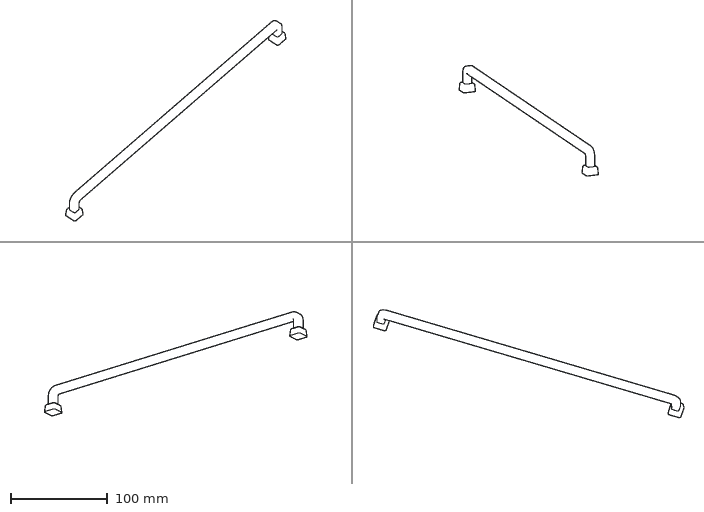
import cadquery as cq

overall_length = 334.0
overall_height = 28.0

foot_side = 14.0
foot_height = 8.5
foot_draft_angle = 5.0
foot_corner_radius = 2.0
foot_top_radius = 2.0

bar_side = 8.0
bar_face_crown = 0.17
bar_edge_radius = 1.0
inner_bend_radius = 1.7

leg_offset = (overall_length - foot_side) / 2
bend_radius = inner_bend_radius + bar_side / 2
grip_axis_height = overall_height - bar_side / 2
leg_height = grip_axis_height - bend_radius
grip_length = 2 * (leg_offset - bend_radius)


def make_bar_section():
    """Square outline whose four sides bulge outward to the full bar width."""
    middle = bar_side / 2
    corner = middle - bar_face_crown
    return (
        cq.Sketch()
        .arc((-corner, -corner), (0, -middle), (corner, -corner))
        .arc((corner, -corner), (middle, 0), (corner, corner))
        .arc((corner, corner), (0, middle), (-corner, corner))
        .arc((-corner, corner), (-middle, 0), (-corner, -corner))
        .assemble()
        .vertices()
        .fillet(bar_edge_radius)
    )


def make_foot(y_center):
    """Tapered square foot with rounded corners and a rounded top edge."""
    return (
        cq.Workplane("XY")
        .center(0, y_center)
        .rect(foot_side, foot_side)
        .extrude(foot_height, taper=foot_draft_angle)
        .edges("not #Z")
        .fillet(foot_corner_radius)
        .faces(">Z")
        .edges()
        .fillet(foot_top_radius)
    )


def make_leg(y_center):
    """Upright bar from the ground to the start of the bend."""
    return (
        cq.Workplane("XY", origin=(0, y_center, 0))
        .placeSketch(bar_section)
        .extrude(leg_height)
    )


def make_bend(side):
    """Quarter turn from a leg to the grip; side is -1 or 1 along Y."""
    pivot_y = -side * bend_radius
    return (
        cq.Workplane("XY", origin=(0, side * leg_offset, leg_height))
        .placeSketch(bar_section)
        .revolve(90, (0, pivot_y), (side, pivot_y))
    )


def make_grip():
    """Straight bar between the two bends."""
    return (
        cq.Workplane("XZ", origin=(0, 0, grip_axis_height))
        .placeSketch(bar_section)
        .extrude(grip_length / 2, both=True)
    )


bar_section = make_bar_section()
result = make_grip()
for side in (-1, 1):
    result = result.union(make_bend(side))
    result = result.union(make_leg(side * leg_offset))
    result = result.union(make_foot(side * leg_offset))